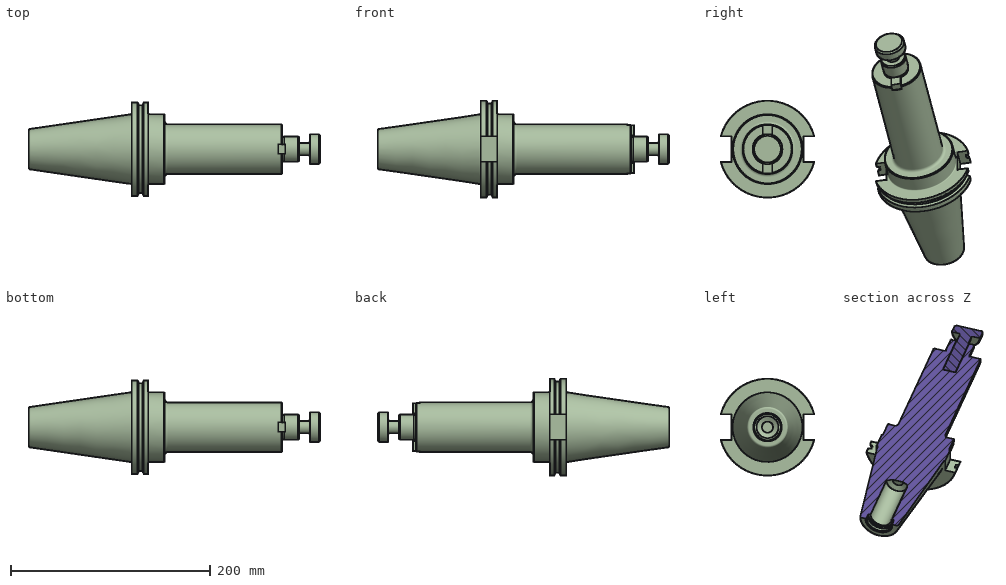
import cadquery as cq


TAPER_END = 101.5
FLANGE_START = 103.3
FLANGE_END = 120.0
COLLAR_END = 136.7
ARBOR_FACE = 254.3
PILOT_END = 271.5
HEAD_START = 281.8
TOTAL_LENGTH = 292.5

TAPER_SMALL_RADIUS = 40.5 / 2
TAPER_LARGE_RADIUS = 70.0 / 2
FLANGE_RADIUS = 97.5 / 2
COLLAR_RADIUS = 70.2 / 2
ARBOR_RADIUS = 50.0 / 2
PILOT_RADIUS = 25.5 / 2

TAPER_TIP_FILLET = 2.0
FLANGE_ROOT_FILLET = 1.0
COLLAR_CHAMFER = 1.0
ARBOR_ROOT_FILLET = 3.0
ARBOR_CHAMFER = 1.0
PILOT_CHAMFER_LENGTH = 1.8
PILOT_CHAMFER_DEPTH = 1.0

RELIEF_WIDTH = 2.0
RELIEF_RADIUS = 25.0 / 2

GROOVE_START = 109.1
GROOVE_END = 115.5
GROOVE_WALL_RUN = 1.5
GROOVE_FLOOR_RADIUS = 92.0 / 2

SLOT_WIDTH = 25.5
SLOT_FLOOR = 36.3

BORE_MOUTH_RADIUS = 28.7 / 2
COUNTERBORE_RADIUS = 26.5 / 2
COUNTERBORE_STEP_RADIUS = 26.3 / 2
BORE_RADIUS = 22.0 / 2
BORE_TIP_RADIUS = 11.0 / 2
BORE_MOUTH_DEPTH = 1.2
COUNTERBORE_DEPTH = 4.7
COUNTERBORE_STEP_DEPTH = 7.0
BORE_DEPTH = 58.5
BORE_TIP_LENGTH = 3.0

KEY_WIDTH = 9.7
KEY_START = 250.2
KEY_END = 257.2
KEY_INNER = 13.8
KEY_OUTER = 24.0
KEY_ANGLES = (0, 180)

STEM_RADIUS = 12.5 / 2
HEAD_RADIUS = 30.0 / 2
SCREW_TIP = 228.2
STEM_FILLET = 1.0
HEAD_REAR_CHAMFER = 1.0
HEAD_FRONT_CHAMFER = 1.8

MATCH_TOLERANCE = 0.003


def revolve_profile(points):
    """Solid of revolution about X from (x, radius) points."""
    return cq.Workplane("XY").polyline(points).close().revolve(360, (0, 0, 0), (1, 0, 0))


def fillet_circle(body, x, radius, fillet):
    """Round the circular edge of the given radius that lies in the plane at x."""
    edges = [
        edge
        for edge in body.edges("%CIRCLE").vals()
        if abs(edge.Center().x - x) < MATCH_TOLERANCE and abs(edge.radius() - radius) < MATCH_TOLERANCE
    ]
    return body.newObject(edges).fillet(fillet)


def box_between(x_start, x_end, width_y, width_z, z_start=None):
    """Box centred on Y = 0, from z_start upward, or centred on Z = 0 without it."""
    z_middle = 0 if z_start is None else z_start + width_z / 2
    box = cq.Workplane("XY").box(x_end - x_start, width_y, width_z)
    return box.translate(((x_start + x_end) / 2, 0, z_middle))


def make_blank():
    blank = revolve_profile([
        (0, 0),
        (0, TAPER_SMALL_RADIUS),
        (TAPER_END, TAPER_LARGE_RADIUS),
        (FLANGE_START, TAPER_LARGE_RADIUS),
        (FLANGE_START, FLANGE_RADIUS),
        (GROOVE_START, FLANGE_RADIUS),
        (GROOVE_START + GROOVE_WALL_RUN, GROOVE_FLOOR_RADIUS),
        (GROOVE_END - GROOVE_WALL_RUN, GROOVE_FLOOR_RADIUS),
        (GROOVE_END, FLANGE_RADIUS),
        (FLANGE_END, FLANGE_RADIUS),
        (FLANGE_END, COLLAR_RADIUS),
        (COLLAR_END - COLLAR_CHAMFER, COLLAR_RADIUS),
        (COLLAR_END, COLLAR_RADIUS - COLLAR_CHAMFER),
        (COLLAR_END, ARBOR_RADIUS),
        (ARBOR_FACE - ARBOR_CHAMFER, ARBOR_RADIUS),
        (ARBOR_FACE, ARBOR_RADIUS - ARBOR_CHAMFER),
        (ARBOR_FACE, RELIEF_RADIUS),
        (ARBOR_FACE + RELIEF_WIDTH, RELIEF_RADIUS),
        (ARBOR_FACE + RELIEF_WIDTH, PILOT_RADIUS),
        (PILOT_END - PILOT_CHAMFER_LENGTH, PILOT_RADIUS),
        (PILOT_END, PILOT_RADIUS - PILOT_CHAMFER_DEPTH),
        (PILOT_END, 0),
    ])
    blank = fillet_circle(blank, 0, TAPER_SMALL_RADIUS, TAPER_TIP_FILLET)
    blank = fillet_circle(blank, FLANGE_START, TAPER_LARGE_RADIUS, FLANGE_ROOT_FILLET)
    blank = fillet_circle(blank, FLANGE_END, COLLAR_RADIUS, FLANGE_ROOT_FILLET)
    return fillet_circle(blank, COLLAR_END, ARBOR_RADIUS, ARBOR_ROOT_FILLET)


def drawbar_bore():
    bore_end = BORE_DEPTH + BORE_TIP_LENGTH
    return revolve_profile([
        (0, 0),
        (0, BORE_MOUTH_RADIUS),
        (BORE_MOUTH_DEPTH, COUNTERBORE_RADIUS),
        (COUNTERBORE_DEPTH, COUNTERBORE_RADIUS),
        (COUNTERBORE_DEPTH, COUNTERBORE_STEP_RADIUS),
        (COUNTERBORE_STEP_DEPTH, COUNTERBORE_STEP_RADIUS),
        (COUNTERBORE_STEP_DEPTH, BORE_RADIUS),
        (BORE_DEPTH, BORE_RADIUS),
        (bore_end, BORE_TIP_RADIUS),
        (bore_end, 0),
    ])


def flange_slots():
    """Material outside the slot floors on both Y sides of the flange."""
    across_flange = box_between(FLANGE_START, FLANGE_END, 2 * FLANGE_RADIUS, SLOT_WIDTH)
    between_floors = box_between(FLANGE_START, FLANGE_END, 2 * SLOT_FLOOR, SLOT_WIDTH)
    return across_flange.cut(between_floors)


def key_seat(angle):
    """Seat open through the arbor's side and face, turned about X."""
    depth = ARBOR_RADIUS - KEY_INNER
    seat = box_between(KEY_START, ARBOR_FACE, KEY_WIDTH, depth, KEY_INNER)
    return seat.rotate((0, 0, 0), (1, 0, 0), angle)


def make_key(angle):
    key = box_between(KEY_START, KEY_END, KEY_WIDTH, KEY_OUTER - KEY_INNER, KEY_INNER)
    return key.rotate((0, 0, 0), (1, 0, 0), angle)


def make_screw():
    screw = revolve_profile([
        (SCREW_TIP, 0),
        (SCREW_TIP, STEM_RADIUS),
        (HEAD_START, STEM_RADIUS),
        (HEAD_START, HEAD_RADIUS - HEAD_REAR_CHAMFER),
        (HEAD_START + HEAD_REAR_CHAMFER, HEAD_RADIUS),
        (TOTAL_LENGTH - HEAD_FRONT_CHAMFER, HEAD_RADIUS),
        (TOTAL_LENGTH, HEAD_RADIUS - HEAD_FRONT_CHAMFER),
        (TOTAL_LENGTH, 0),
    ])
    return fillet_circle(screw, HEAD_START, STEM_RADIUS, STEM_FILLET)


def screw_hole():
    hole = cq.Workplane("YZ").circle(STEM_RADIUS).extrude(PILOT_END - SCREW_TIP)
    return hole.translate((SCREW_TIP, 0, 0))


def make_holder():
    holder = make_blank().cut(drawbar_bore()).cut(flange_slots()).cut(screw_hole())
    for angle in KEY_ANGLES:
        holder = holder.cut(key_seat(angle))
    return holder


holder = make_holder()
screw = make_screw()
keys = [make_key(angle) for angle in KEY_ANGLES]

result = cq.Compound.makeCompound([holder.val(), screw.val(), *[key.val() for key in keys]])